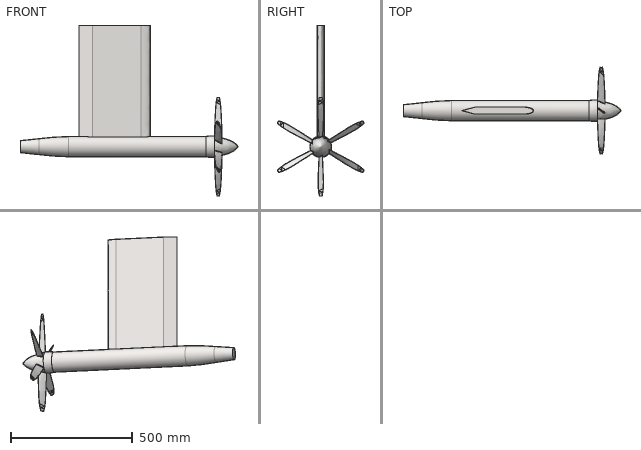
import cadquery as cq

overall_length = 896.0

tail_radius = 25.0
cone_end_x = 76.0
cone_end_radius = 33.0
tube_start_x = 197.0
tube_radius = 42.0
collar_start_x = 764.0

spinner_start_x = 799.0
spinner_radius = 44.0
bulge_radius = 45.0
nose_length = overall_length - spinner_start_x
nose_mid_x = spinner_start_x + nose_length / 2
nose_mid_radius = 31.0
nose_shoulder_x = 873.5
nose_shoulder_radius = 21.0

pylon_tail_x = 241.0
pylon_side_start_x = 296.0
pylon_side_end_x = 497.0
pylon_nose_x = 535.0
pylon_thickness = 30.0
pylon_top_z = 500.0

blade_count = 6
blade_axis_x = 814.0
blade_root_radius = 27.0
blade_tip_radius = 203.0
blade_span = blade_tip_radius - blade_root_radius
blade_thickness_ratio = 0.1
blade_stations = [
    (0.0, 34.0, 24.0),
    (0.3, 35.0, 31.0),
    (0.6, 34.0, 42.0),
    (0.85, 28.0, 47.0),
    (1.0, 14.0, 50.0),
]


def revolve_about_x(profile):
    """Close a half profile along the axis and turn it into a solid."""
    return profile.close().revolve(360, (0, 0, 0), (1, 0, 0))


def make_nacelle():
    """Straight tail cone, curved fairing and cylindrical tube in one piece."""
    profile = (
        cq.Workplane("XZ")
        .lineTo(0, tail_radius)
        .lineTo(cone_end_x, cone_end_radius)
        .spline([(tube_start_x, tube_radius)],
                tangents=[(cone_end_x, cone_end_radius - tail_radius), (1, 0)], includeCurrent=True)
        .lineTo(collar_start_x, tube_radius)
        .lineTo(collar_start_x, 0)
    )
    return revolve_about_x(profile)


def make_collar():
    """Slightly bulged ring of full section between the tube and the spinner."""
    profile = (
        cq.Workplane("XZ")
        .moveTo(collar_start_x, 0)
        .lineTo(collar_start_x, tube_radius)
        .threePointArc(((collar_start_x + spinner_start_x) / 2, bulge_radius),
                       (spinner_start_x, spinner_radius))
        .lineTo(spinner_start_x, 0)
    )
    return revolve_about_x(profile)


def make_spinner():
    """Rounded nose in front of the collar, tapering to a tip on the axis."""
    profile = (
        cq.Workplane("XZ")
        .moveTo(spinner_start_x, 0)
        .lineTo(spinner_start_x, spinner_radius)
        .spline([(nose_mid_x, nose_mid_radius), (nose_shoulder_x, nose_shoulder_radius),
                 (overall_length, 0)], includeCurrent=True)
    )
    return revolve_about_x(profile)


def make_pylon(nacelle):
    """Upright strut with a wedge at the tail side and a half-ellipse nose, seated on the tube."""
    half = pylon_thickness / 2
    nose = pylon_nose_x - pylon_side_end_x
    strut = (
        cq.Workplane("XY")
        .moveTo(pylon_tail_x, 0)
        .lineTo(pylon_side_start_x, -half)
        .lineTo(pylon_side_end_x, -half)
        .ellipseArc(nose, half, -90, 90, startAtCurrent=True)
        .lineTo(pylon_side_start_x, half)
        .close()
        .extrude(pylon_top_z)
    )
    return strut.cut(nacelle).solids()


def blade_section(fraction, chord, angle):
    """Lens-shaped wire of two arcs, set at the given angle and height."""
    half_chord = chord / 2
    half_thickness = chord * blade_thickness_ratio / 2
    lens = (
        cq.Workplane("XY")
        .moveTo(-half_chord, 0)
        .threePointArc((0, -half_thickness), (half_chord, 0))
        .threePointArc((0, half_thickness), (-half_chord, 0))
        .close()
        .val()
    )
    height = blade_root_radius + fraction * blade_span
    turned = lens.rotate(cq.Vector(0, 0, 0), cq.Vector(0, 0, 1), -angle)
    return turned.translate(cq.Vector(blade_axis_x, 0, height))


def make_blades(spinner, collar):
    """Twisted blades spaced evenly around X, their roots seated on the spinner."""
    sections = [blade_section(*station) for station in blade_stations]
    blade = cq.Workplane("XY").add(cq.Solid.makeLoft(sections))
    seated = blade.cut(spinner).cut(collar).solids()
    step = 360 / blade_count
    return [seated.rotate((0, 0, 0), (1, 0, 0), i * step) for i in range(blade_count)]


nacelle = make_nacelle()
collar = make_collar()
spinner = make_spinner()
pylon = make_pylon(nacelle)
blades = make_blades(spinner, collar)

result = cq.Compound.makeCompound(
    [nacelle.val(), collar.val(), spinner.val(), pylon.val(), *[blade.val() for blade in blades]]
)